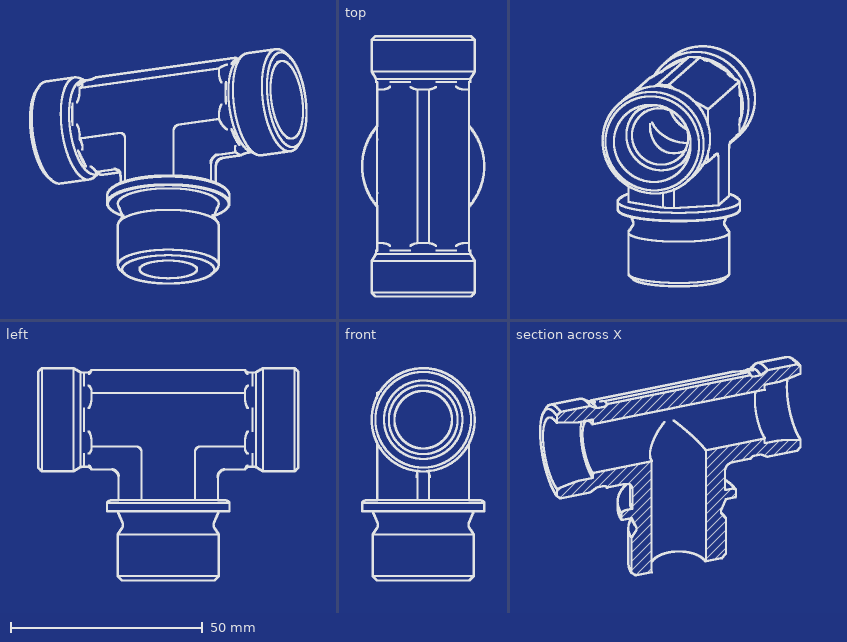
import cadquery as cq
import math

run_half_length = 34.0
stud_length = 42.0

across_flats = 24.0
blunted_corner = 13.0
corner_tolerance = 1e-3
branch_fillet = 2.0

thread_radius = 27.0 / 2
neck_radius = 24.7 / 2
thread_chamfer = 1.0
thread_end = 24.7
thread_runout_end = 22.85
hex_end = 22.0
neck_end = 21.0
corner_fillet = 1.0

bore_radius = 15.0 / 2
tube_radius = 18.0 / 2
tube_depth = 10.0
seat_mouth_radius = 20.5 / 2
seat_half_angle = 12.0
seat_depth = (seat_mouth_radius - tube_radius) / math.tan(math.radians(seat_half_angle))

collar_radius = 32.0 / 2
collar_top = -21.0
collar_bottom = -24.0
collar_round_radius = 1.5
collar_round_height = 0.7
collar_edge_break = 0.2
stud_radius = 26.41 / 2
groove_radius = 11.85
groove_flank_radius = 12.0
groove_round_top = -26.85
groove_round_bottom = -28.1
groove_end = -29.9
stud_chamfer = 1.15


def hex_bar(length):
    """Hexagonal bar along Z from the origin, corners along +/-Y blunted, flats at +/-X."""
    corner_distance = across_flats / math.sqrt(3)
    hexagon = (
        cq.Workplane("XY")
        .polygon(6, 2 * corner_distance)
        .extrude(length)
        .rotate((0, 0, 0), (0, 0, 1), 90)
    )
    limit = cq.Workplane("XY").rect(2 * across_flats, 2 * blunted_corner).extrude(length)
    return hexagon.intersect(limit)


def is_inside_corner(edge):
    """True for edges in the mitre planes z = -|y| between the run bar and the branch bar."""
    center = edge.Center()
    on_mitre = abs(abs(center.y) + center.z) < corner_tolerance
    return on_mitre and abs(center.y) > corner_tolerance


def make_body():
    """Run bar and branch bar joined, with rounded inside corners."""
    run = hex_bar(2 * hex_end).translate((0, 0, -hex_end)).rotate((0, 0, 0), (1, 0, 0), 90)
    branch = hex_bar(-collar_top).translate((0, 0, collar_top))
    body = run.union(branch)
    corner_edges = [edge for edge in body.edges().vals() if is_inside_corner(edge)]
    return body.newObject(corner_edges).fillet(branch_fillet)


def around_run(profile):
    """Close a (radius, distance) profile and revolve it about the run axis."""
    return profile.close().revolve(360, (0, 0, 0), (0, 1, 0))


def corner_cutter():
    """Ring that trims the hexagon corners round next to the +Y thread."""
    outer = across_flats
    profile = (
        cq.Workplane("XY")
        .moveTo(neck_radius, run_half_length)
        .lineTo(neck_radius, neck_end)
        .radiusArc((neck_radius + corner_fillet, neck_end - corner_fillet), -corner_fillet)
        .lineTo(outer, neck_end - corner_fillet)
        .lineTo(outer, run_half_length)
    )
    return around_run(profile)


def run_end():
    """Threaded spigot at the +Y end."""
    profile = (
        cq.Workplane("XY")
        .moveTo(0, hex_end)
        .lineTo(neck_radius, hex_end)
        .lineTo(neck_radius, thread_runout_end)
        .lineTo(thread_radius, thread_end)
        .lineTo(thread_radius, run_half_length - thread_chamfer)
        .lineTo(thread_radius - thread_chamfer, run_half_length)
        .lineTo(0, run_half_length)
    )
    return around_run(profile)


def tube_socket():
    """Conical seat and tube bore at the +Y end."""
    profile = (
        cq.Workplane("XY")
        .moveTo(0, run_half_length)
        .lineTo(seat_mouth_radius, run_half_length)
        .lineTo(tube_radius, run_half_length - seat_depth)
        .lineTo(tube_radius, run_half_length - tube_depth)
        .lineTo(0, run_half_length - tube_depth)
    )
    return around_run(profile)


def make_stud():
    """Sealing collar, undercut and threaded stud below the branch."""
    round_width = math.sqrt(collar_round_radius**2 - (collar_round_radius - collar_round_height) ** 2)
    groove_middle = (groove_round_top + groove_round_bottom) / 2
    return (
        cq.Workplane("XZ")
        .moveTo(0, collar_top)
        .lineTo(collar_radius - round_width, collar_top)
        .radiusArc((collar_radius, collar_top - collar_round_height), collar_round_radius)
        .lineTo(collar_radius, collar_bottom + collar_edge_break)
        .lineTo(collar_radius - collar_edge_break, collar_bottom)
        .lineTo(stud_radius, collar_bottom)
        .lineTo(groove_flank_radius, groove_round_top)
        .threePointArc((groove_radius, groove_middle), (groove_flank_radius, groove_round_bottom))
        .lineTo(stud_radius, groove_end)
        .lineTo(stud_radius, -stud_length + stud_chamfer)
        .lineTo(stud_radius - stud_chamfer, -stud_length)
        .lineTo(0, -stud_length)
        .close()
        .revolve(360, (0, 0, 0), (0, 1, 0))
    )


def on_both_ends(shape):
    """The +Y shape together with its mirror image at the -Y end."""
    return shape.union(shape.mirror("XZ"))


run_bore = cq.Workplane("XZ").circle(bore_radius).extrude(run_half_length, both=True)
stud_bore = cq.Workplane("XY").circle(bore_radius).extrude(-stud_length)

result = (
    make_body()
    .cut(on_both_ends(corner_cutter()))
    .union(on_both_ends(run_end()))
    .union(make_stud())
    .cut(run_bore)
    .cut(on_both_ends(tube_socket()))
    .cut(stud_bore)
)